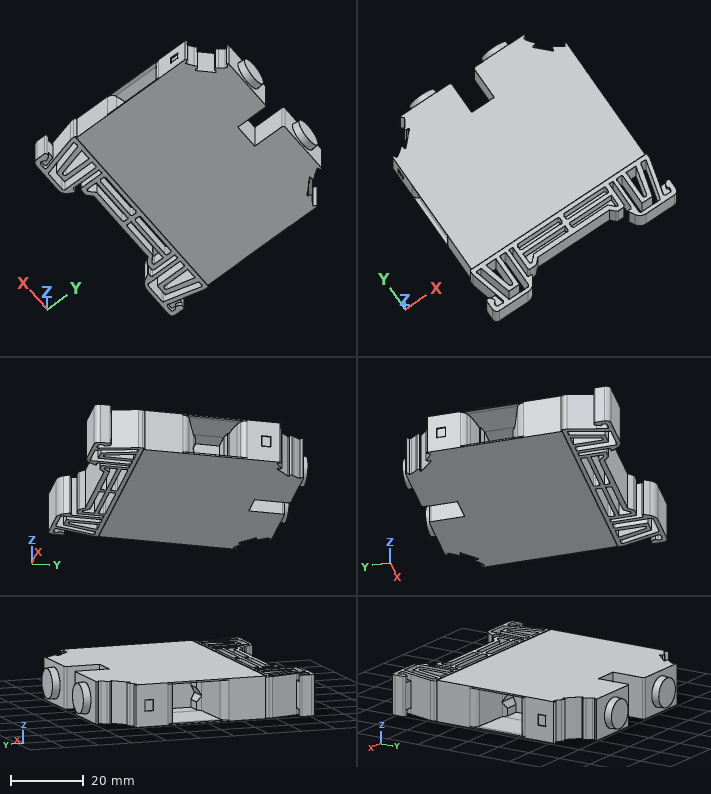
import cadquery as cq
import math


housing_half_width = 29.0
housing_thickness = 12.0
housing_bottom = 14.0
housing_top = 61.05
notch_half_width = 3.7
notch_floor = 50.9
notch_rounding = 0.65

corner_reach = 4.3
corner_x = housing_half_width - corner_reach
corner_y = housing_top - corner_reach
latch_half = [
    (4.3, 4.3),
    (3.8, 3.9),
    (4.8, 3.35),
    (4.55, 2.7),
    (3.55, 1.3),
    (2.9, 0.65),
    (3.3, 0.05),
    (3.85, 0.1),
    (4.1, -0.1),
]

screw_x = 12.0
screw_base_radius = 4.4
screw_top_radius = 4.25
screw_top = 63.2

mouth_top = 43.1
mouth_bottom = 25.1
mouth_half_height = 5.55
upper_lip_radius = 1.8
upper_lip_angle = math.radians(65)
lower_lip_radius = 2.2
lower_lip_angle = math.radians(70)
taper_start_depth = 1.15
bend_depth = 2.35
bend_y = 40.8
bend_bulge = 0.1
step_depth = 6.95
step_top = 39.55
step_width = 0.4
throat_depth = 8.85
throat_bottom = 29.95
throat_half_height = 4.2

chamber_top = 38.55
chamber_bottom = 30.85
chamber_start_depth = 10.1
chamber_depth = 14.55
chamber_vee_half_width = 1.95
chamber_vee_tip = 29.8

marker_bottom = 47.35
marker_height = 2.5
marker_width = 3.1
marker_depth = 0.4

foot_thickness = 11.6
foot_half_width = 30.6
foot_shoulder = 29.5
foot_overlap = 0.65
window_top = 12.75
rail_recess_y = 6.6
rail_stop_y = 5.0
rail_gap_inner = 16.05
rail_gap_outer = 17.3
catch_y = 3.55
hook_top = 4.7
hook_root = 27.5
spring_floor = 1.15
tongue_bottom = 3.1
pocket_web = 1.25
pocket_inner_x = 0.7
pocket_outer_x = 14.7
pocket_rounding = 0.5
hook_recess_depth = 1.9


def rounded_prism(corners, thickness):
    """Prism centred on Z = 0 whose corners are (x, y) or (x, y, rounding radius)."""
    starts, middles, ends = [], [], []
    count = len(corners)
    for index, corner in enumerate(corners):
        point = cq.Vector(*corner[:2])
        radius = corner[2] if len(corner) == 3 else 0
        if radius == 0:
            starts.append(point)
            middles.append(None)
            ends.append(point)
            continue
        back = (cq.Vector(*corners[index - 1][:2]) - point).normalized()
        ahead = (cq.Vector(*corners[(index + 1) % count][:2]) - point).normalized()
        half_angle = back.getAngle(ahead) / 2
        setback = radius / math.tan(half_angle)
        inset = radius / math.sin(half_angle) - radius
        starts.append(point + back * setback)
        middles.append(point + (back + ahead).normalized() * inset)
        ends.append(point + ahead * setback)
    outline = cq.Workplane("XY").moveTo(*ends[0].toTuple()[:2])
    for index in list(range(1, count)) + [0]:
        outline = outline.lineTo(*starts[index].toTuple()[:2])
        if middles[index] is not None:
            outline = outline.threePointArc(middles[index].toTuple()[:2], ends[index].toTuple()[:2])
    return outline.close().extrude(thickness / 2, both=True)


def both_sides(solid):
    """The solid together with its mirror image across the YZ plane."""
    return solid.union(solid.mirror("YZ"))


def mirrored_corners(half):
    """Closed corner list from the +X half of a symmetric outline."""
    return half + [(-corner[0], *corner[1:]) for corner in reversed(half)]


def housing():
    upper = [(corner_x - inward, corner_y + up) for inward, up in latch_half]
    lower = [(corner_x + up, corner_y - inward) for inward, up in reversed(latch_half)]
    half = [
        (notch_half_width, notch_floor),
        (notch_half_width, housing_top, notch_rounding),
        *upper,
        *lower,
        (housing_half_width, housing_bottom),
    ]
    return rounded_prism(mirrored_corners(half), housing_thickness)


def screw_heads():
    head = cq.Solid.makeCone(
        screw_base_radius,
        screw_top_radius,
        screw_top - housing_top,
        cq.Vector(screw_x, housing_top, 0),
        cq.Vector(0, 1, 0),
    )
    return both_sides(cq.Workplane(head))


def lip_point(mouth_y, radius, angle, inward):
    """Point on a convex lip, turned by angle from where it leaves the side face."""
    x = housing_half_width - radius * (1 - math.cos(angle))
    return x, mouth_y + inward * radius * math.sin(angle)


def wire_entries():
    face = housing_half_width
    taper_x = face - taper_start_depth
    bend_x = face - bend_depth
    step_x = face - step_depth
    throat_x = face - throat_depth
    chamber_x = face - chamber_start_depth
    upper_wall_middle = ((bend_x + step_x) / 2, (bend_y + step_top) / 2 - bend_bulge)

    flare = (
        cq.Workplane("XY")
        .moveTo(face, mouth_top)
        .threePointArc(
            lip_point(mouth_top, upper_lip_radius, upper_lip_angle / 2, -1),
            lip_point(mouth_top, upper_lip_radius, upper_lip_angle, -1),
        )
        .lineTo(bend_x, bend_y)
        .threePointArc(upper_wall_middle, (step_x, step_top))
        .lineTo(step_x, step_top - step_width)
        .lineTo(throat_x, chamber_top)
        .lineTo(chamber_x, chamber_top)
        .lineTo(chamber_x, chamber_bottom)
        .lineTo(throat_x, throat_bottom)
        .lineTo(*lip_point(mouth_bottom, lower_lip_radius, lower_lip_angle, 1))
        .threePointArc(
            lip_point(mouth_bottom, lower_lip_radius, lower_lip_angle / 2, 1),
            (face, mouth_bottom),
        )
        .close()
        .extrude(mouth_half_height, both=True)
    )
    taper = (
        cq.Workplane("XZ")
        .polyline([
            (face, mouth_half_height),
            (taper_x, mouth_half_height),
            (throat_x, throat_half_height),
            (chamber_x, throat_half_height),
            (chamber_x, -throat_half_height),
            (throat_x, -throat_half_height),
            (taper_x, -mouth_half_height),
            (face, -mouth_half_height),
        ])
        .close()
        .extrude(-housing_top)
    )
    chamber = (
        cq.Workplane("YZ", origin=(face - chamber_depth, 0, 0))
        .polyline([
            (chamber_top, -throat_half_height),
            (chamber_top, throat_half_height),
            (chamber_bottom, throat_half_height),
            (chamber_bottom, chamber_vee_half_width),
            (chamber_vee_tip, 0),
            (chamber_bottom, -chamber_vee_half_width),
            (chamber_bottom, -throat_half_height),
        ])
        .close()
        .extrude(chamber_depth - throat_depth)
    )
    return both_sides(flare.intersect(taper).union(chamber))


def marker_recesses():
    recess = cq.Workplane("XY").box(2 * marker_depth, marker_height, marker_width)
    return both_sides(recess.translate((housing_half_width, marker_bottom + marker_height / 2, 0)))


def foot_body():
    half = [
        (11.95, rail_recess_y),
        (13.5, rail_stop_y, 0.95),
        (rail_gap_inner, rail_stop_y, 0.6),
        (rail_gap_inner, window_top),
        (rail_gap_outer, window_top),
        (rail_gap_outer, catch_y, 0.4),
        (rail_gap_inner, catch_y),
        (rail_gap_inner, 3.15),
        (17.9, 0, 3.15),
        (foot_half_width, 0, 1.45),
        (foot_half_width, hook_top, 0.5),
        (hook_root, hook_top),
        (foot_shoulder, 12.5),
        (foot_shoulder, housing_bottom, 0.75),
        (28.45, housing_bottom + foot_overlap),
    ]
    return rounded_prism(mirrored_corners(half), foot_thickness)


def foot_windows():
    spring_slot = [
        (28.3, window_top, 0.25),
        (26.6, window_top, 0.25),
        (23.95, tongue_bottom),
        (20.4, tongue_bottom),
        (20.4, window_top, 0.25),
        (18.45, window_top, 0.25),
        (18.45, spring_floor, 0.6),
        (25.2, spring_floor, 0.25),
    ]
    wedge = [
        (24.95, window_top),
        (21.75, window_top),
        (21.75, 4.2, 0.5),
        (22.8, 4.2, 0.5),
    ]
    slot_cut = rounded_prism(spring_slot, foot_thickness)
    wedge_cut = rounded_prism(wedge, foot_thickness)
    return both_sides(slot_cut.union(wedge_cut))


def foot_pockets():
    upper = [
        (pocket_inner_x, 10.9, pocket_rounding),
        (pocket_inner_x, window_top, pocket_rounding),
        (pocket_outer_x, window_top, pocket_rounding),
        (pocket_outer_x, 10.9, pocket_rounding),
    ]
    lower = [
        (pocket_inner_x, 8.0, pocket_rounding),
        (pocket_inner_x, 9.75),
        (pocket_outer_x, 9.75),
        (pocket_outer_x, 6.3, 0.3),
        (14.0, 6.3, 0.2),
        (12.3, 8.0),
    ]
    web = cq.Workplane("XY").box(2 * foot_half_width, housing_top, pocket_web)
    pockets = rounded_prism(upper, foot_thickness).union(rounded_prism(lower, foot_thickness))
    return both_sides(pockets).cut(web)


def hook_recesses():
    hook = [
        (hook_root, hook_top),
        (29.4, hook_top),
        (28.8, 3.85, 0.65),
        (28.55, 3.1),
        (29.15, 2.5, 0.25),
        (29.15, 1.3, 0.45),
        (26.6, 1.3, 0.45),
    ]
    recess = rounded_prism(hook, foot_thickness)
    core = cq.Workplane("XY").box(
        2 * foot_half_width, housing_top, foot_thickness - 2 * hook_recess_depth
    )
    return both_sides(recess).cut(core)


block = housing().union(screw_heads()).cut(wire_entries()).cut(marker_recesses())
foot = foot_body().cut(foot_windows()).cut(foot_pockets()).cut(hook_recesses())
result = block.union(foot)